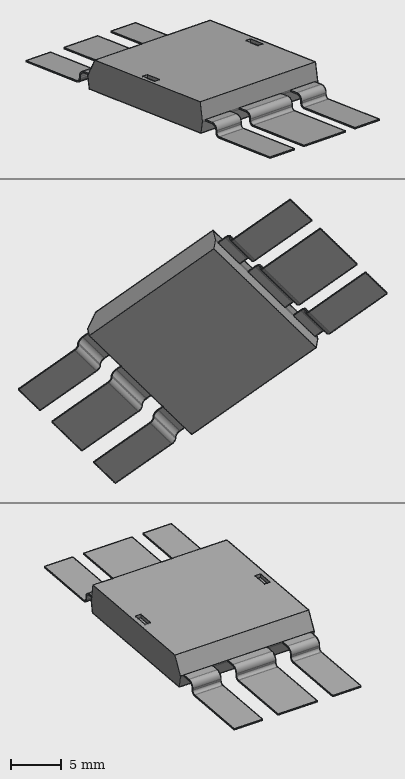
import cadquery as cq

total_length = 35.23
body_width = 15.6
body_height = 3.3

waist_half_length = 8.28
base_half_length = 8.07
top_left_x = -7.25
top_right_x = 7.95

lead_thickness = 0.15
lead_top_z = 1.4
lead_riser_x = 9.95
shoulder_radius = 0.7
foot_radius = 0.35

outer_lead_width = 3.3
outer_lead_y = 5.75
left_middle_lead_width = 4.58
right_middle_lead_width = 5.65

pocket_length = 1.8
pocket_width = 0.65
pocket_depth = 0.42
pocket_y = 6.98

lead_bottom_z = lead_top_z - lead_thickness


def extrude_along_y(profile, width, center_y):
    """Extrude a profile drawn in XZ by a width centred on the given Y."""
    return profile.extrude(width / 2, both=True).translate((0, center_y, 0))


def make_body():
    profile = (
        cq.Workplane("XZ")
        .moveTo(-base_half_length, 0)
        .lineTo(base_half_length, 0)
        .lineTo(waist_half_length, lead_bottom_z)
        .lineTo(waist_half_length, lead_top_z)
        .lineTo(top_right_x, body_height)
        .lineTo(top_left_x, body_height)
        .lineTo(-waist_half_length, lead_top_z)
        .lineTo(-waist_half_length, lead_bottom_z)
        .close()
    )
    pockets = (
        cq.Workplane("XY", origin=(0, 0, body_height - pocket_depth))
        .pushPoints([(0, pocket_y), (0, -pocket_y)])
        .rect(pocket_length, pocket_width)
        .extrude(pocket_depth)
    )
    return extrude_along_y(profile, body_width, 0).cut(pockets)


def make_right_lead(width, center_y):
    """A lead that leaves the +X waist, steps down and runs out as a flat foot."""
    tip_x = total_length / 2
    riser_inner_x = lead_riser_x - lead_thickness
    shoulder_x = lead_riser_x - shoulder_radius
    foot_x = lead_riser_x + foot_radius
    shoulder_z = lead_top_z - shoulder_radius
    foot_z = lead_thickness + foot_radius
    shoulder_inner_radius = shoulder_radius - lead_thickness
    foot_outer_radius = foot_radius + lead_thickness
    profile = (
        cq.Workplane("XZ")
        .moveTo(waist_half_length, lead_top_z)
        .lineTo(shoulder_x, lead_top_z)
        .radiusArc((lead_riser_x, shoulder_z), shoulder_radius)
        .lineTo(lead_riser_x, foot_z)
        .radiusArc((foot_x, lead_thickness), -foot_radius)
        .lineTo(tip_x, lead_thickness)
        .lineTo(tip_x, 0)
        .lineTo(foot_x, 0)
        .radiusArc((riser_inner_x, foot_z), foot_outer_radius)
        .lineTo(riser_inner_x, shoulder_z)
        .radiusArc((shoulder_x, lead_bottom_z), -shoulder_inner_radius)
        .lineTo(waist_half_length, lead_bottom_z)
        .close()
    )
    return extrude_along_y(profile, width, center_y)


def make_left_lead(width, center_y):
    return make_right_lead(width, center_y).mirror("YZ")


def make_lead_row(make_lead, middle_width):
    """Two equal outer leads and one wider middle lead, all separate solids."""
    placements = [
        (outer_lead_width, -outer_lead_y),
        (middle_width, 0),
        (outer_lead_width, outer_lead_y),
    ]
    return [make_lead(width, center_y).val() for width, center_y in placements]


body = make_body()
left_leads = make_lead_row(make_left_lead, left_middle_lead_width)
right_leads = make_lead_row(make_right_lead, right_middle_lead_width)

result = cq.Compound.makeCompound([body.val(), *left_leads, *right_leads])